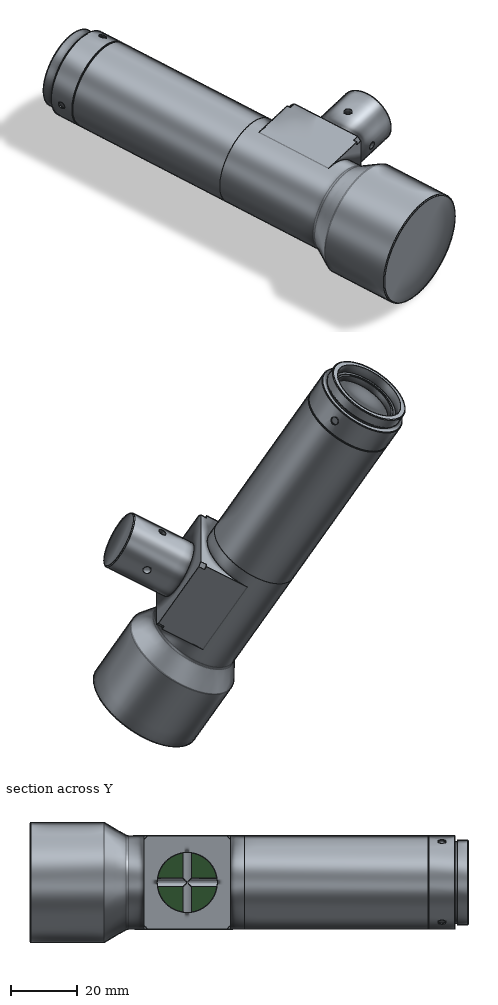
import cadquery as cq
import math

total_length = 131.28
barrel_diameter = 28.0
barrel_radius = barrel_diameter / 2

thread_diameter = 25.4
thread_radius = thread_diameter / 2
undercut_radius = 12.3
undercut_start = 3.3
mount_shoulder = 4.0
mount_end = 12.0
thread_chamfer = 0.25
shoulder_chamfer = 0.2
joint_chamfer = 0.2

mouth_radius = 11.0
mouth_depth = 3.0
step_radius = 10.1
step_depth = 3.1
seat_radius = 9.5
seat_depth = 5.1

mount_screw_diameter = 2.4
mount_screw_depth = 0.5
mount_screw_count = 3
mount_screw_x = (mount_shoulder + mount_end) / 2
mount_screw_tilt = 1.6

tube_end = 67.0

objective_radius = 18.0
objective_start = 109.1
flare_angle = 30.0
flare_length = (objective_radius - barrel_radius) / math.tan(math.radians(flare_angle))
flare_start = objective_start - flare_length
flare_fillet = 1.5
objective_edge_fillet = 0.5
objective_chamfer = 0.3
rim_search = 0.1

block_length = 26.0
block_center_x = 84.2
block_reach = 16.2
corner_chamfer = 1.2
corner_chamfer_length = 2.0

overall_width = 55.1
stub_radius = 9.0
stub_end = overall_width - objective_radius
stub_chamfer = 0.3
stub_screw_diameter = 2.4
stub_screw_y = 27.2


def revolve_about_x(outline):
    """Turn a closed (X, radius) outline about the X axis."""
    return outline.close().revolve(360, (0, 0, 0), (1, 0, 0))


def rim_at(x):
    """Select the circular edge whose centre lies on the axis at the given X."""
    return cq.selectors.BoxSelector(
        (x - rim_search, -rim_search, -rim_search),
        (x + rim_search, rim_search, rim_search),
    )


def make_camera_mount():
    outline = (
        cq.Workplane("XY")
        .moveTo(seat_depth, 0)
        .lineTo(seat_depth, seat_radius)
        .lineTo(step_depth, seat_radius)
        .lineTo(step_depth, step_radius)
        .lineTo(mouth_depth, step_radius)
        .lineTo(mouth_depth, mouth_radius)
        .lineTo(0, mouth_radius)
        .lineTo(0, thread_radius - thread_chamfer)
        .lineTo(thread_chamfer, thread_radius)
        .lineTo(undercut_start, thread_radius)
        .lineTo(undercut_start, undercut_radius)
        .lineTo(mount_shoulder, undercut_radius)
        .lineTo(mount_shoulder, barrel_radius - shoulder_chamfer)
        .lineTo(mount_shoulder + shoulder_chamfer, barrel_radius)
        .lineTo(mount_end - joint_chamfer, barrel_radius)
        .lineTo(mount_end, barrel_radius - joint_chamfer)
        .lineTo(mount_end, 0)
    )
    mount = revolve_about_x(outline)
    for index in range(mount_screw_count):
        angle = mount_screw_tilt + index * 360 / mount_screw_count
        screw_hole = (
            cq.Workplane("XZ", origin=(0, -barrel_radius, 0))
            .center(mount_screw_x, 0)
            .circle(mount_screw_diameter / 2)
            .extrude(-mount_screw_depth)
            .rotate((0, 0, 0), (1, 0, 0), angle)
        )
        mount = mount.cut(screw_hole)
    return mount


def make_barrel_tube():
    return (
        cq.Workplane("YZ", origin=(mount_end, 0, 0))
        .circle(barrel_radius)
        .extrude(tube_end - mount_end)
        .faces("<X")
        .chamfer(joint_chamfer)
    )


def make_head_barrel():
    outline = (
        cq.Workplane("XY")
        .moveTo(tube_end, 0)
        .lineTo(tube_end, barrel_radius)
        .lineTo(flare_start, barrel_radius)
        .lineTo(objective_start, objective_radius)
        .lineTo(total_length, objective_radius)
        .lineTo(total_length, 0)
    )
    barrel = revolve_about_x(outline)
    barrel = barrel.faces(">X").chamfer(objective_chamfer)
    barrel = barrel.edges(rim_at(flare_start)).fillet(flare_fillet)
    return barrel.edges(rim_at(objective_start)).fillet(objective_edge_fillet)


def make_illumination_block():
    plain_reach = block_reach - corner_chamfer_length
    base = (
        cq.Workplane("XZ", origin=(block_center_x, 0, 0))
        .rect(block_length, barrel_diameter)
        .extrude(-plain_reach)
    )
    cap = (
        cq.Workplane("XZ", origin=(block_center_x, plain_reach, 0))
        .rect(block_length, barrel_diameter)
        .extrude(-corner_chamfer_length)
        .edges("|Y")
        .chamfer(corner_chamfer)
    )
    return base.union(cap)


def make_light_guide_stub():
    stub = (
        cq.Workplane("XZ", origin=(block_center_x, 0, 0))
        .circle(stub_radius)
        .extrude(-stub_end)
        .faces(">Y")
        .chamfer(stub_chamfer)
    )
    for plane in ("XY", "YZ"):
        screw_hole = (
            cq.Workplane(plane, origin=(block_center_x, stub_screw_y, 0))
            .circle(stub_screw_diameter / 2)
            .extrude(stub_radius, both=True)
        )
        stub = stub.cut(screw_hole)
    return stub


def make_objective_head():
    return make_head_barrel().union(make_illumination_block()).union(make_light_guide_stub())


camera_mount = make_camera_mount()
barrel_tube = make_barrel_tube()
objective_head = make_objective_head()

result = cq.Compound.makeCompound([camera_mount.val(), barrel_tube.val(), objective_head.val()])